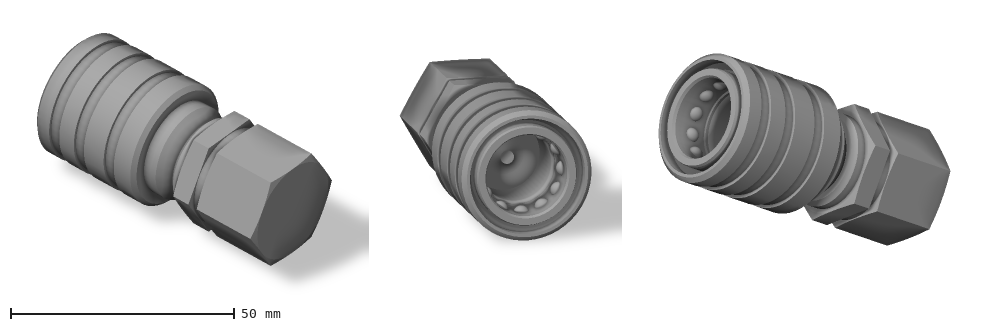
import cadquery as cq
import math


SLEEVE_LENGTH = 29.7
SLEEVE_RADIUS = 15.0
SLEEVE_CHAMFER = 1.0
GROOVE_WIDTH = 3.0
GROOVE_DEPTH = 0.75
GROOVE_STARTS = (4.5, 11.85, 20.75)
MOUTH_RADIUS = 13.3
MOUTH_FLOOR_RADIUS = 12.05
MOUTH_RIM_DEPTH = 3.0
MOUTH_DEPTH = MOUTH_RIM_DEPTH + MOUTH_RADIUS - MOUTH_FLOOR_RADIUS

TUBE_RADIUS = 11.5
TUBE_START = 0.1
TUBE_END = 33.2
TUBE_EDGE_CHAMFER = 0.25
BORE_RADIUS = 9.35
BORE_EDGE_CHAMFER = 0.35
EDGE_CHAMFER_LENGTH = 0.7
BORE_END = 9.5
SEAT_BORE_RADIUS = 8.75
INNER_BORE_RADIUS = 8.2
INNER_BORE_START = 11.5
LEAD_IN_RADIUS = 1.7
SOCKET_FLOOR = 22.0

PIN_RADIUS = 1.55
PIN_FLARE_RADIUS = 3.0

BALL_COUNT = 12
BALL_RADIUS = 1.8
BALL_CIRCLE_RADIUS = 9.9
BALL_POSITION = 6.0
BALL_SEAT_RADIUS = 10.5

CONE_END_RADIUS = 8.3
COLLAR_START = 36.8
COLLAR_RADIUS = 11.0
COLLAR_CHAMFER = 1.1
HEX_ACROSS_FLATS = 24.0
LOCK_HEX_START = 40.0
LOCK_HEX_END = 45.0
NECK_RADIUS = 11.75
NUT_START = 47.0
TOTAL_LENGTH = 64.0
HEX_CHAMFER_ANGLE = 15.0
HEX_FACE_RADIUS = HEX_ACROSS_FLATS / 2
HEX_CORNER_RADIUS = HEX_FACE_RADIUS / math.cos(math.radians(30))
HEX_CHAMFER_LENGTH = (HEX_CORNER_RADIUS - HEX_FACE_RADIUS) * math.tan(math.radians(HEX_CHAMFER_ANGLE))


def revolve_about_x(outline):
    """Turn a closed outline of (x, radius) points around the X axis."""
    return outline.close().revolve(360, (0, 0, 0), (1, 0, 0))


def turned(points):
    return revolve_about_x(cq.Workplane("XY").polyline(points))


def cylinder(start, end, radius):
    return cq.Workplane("YZ", origin=(start, 0, 0)).circle(radius).extrude(end - start)


def make_sleeve():
    sleeve = cylinder(0, SLEEVE_LENGTH, SLEEVE_RADIUS).edges().chamfer(SLEEVE_CHAMFER)
    for start in GROOVE_STARTS:
        end = start + GROOVE_WIDTH
        ring = cylinder(start, end, SLEEVE_RADIUS + GROOVE_DEPTH)
        ring = ring.cut(cylinder(start, end, SLEEVE_RADIUS - GROOVE_DEPTH))
        sleeve = sleeve.cut(ring)
    mouth = turned([
        (0, 0),
        (0, MOUTH_RADIUS),
        (MOUTH_RIM_DEPTH, MOUTH_RADIUS),
        (MOUTH_DEPTH, MOUTH_FLOOR_RADIUS),
        (MOUTH_DEPTH, 0),
    ])
    return sleeve.cut(mouth).cut(cylinder(0, SLEEVE_LENGTH, TUBE_RADIUS))


def make_hexagon(start, end, chamfer_rear):
    """Hexagon with flats facing +Z and -Z and turned corner chamfers."""
    hexagon = (
        cq.Workplane("YZ", origin=(start, 0, 0))
        .polygon(6, 2 * HEX_CORNER_RADIUS)
        .extrude(end - start)
    )
    envelope = [
        (start, 0),
        (start, HEX_FACE_RADIUS),
        (start + HEX_CHAMFER_LENGTH, HEX_CORNER_RADIUS),
    ]
    if chamfer_rear:
        envelope += [(end - HEX_CHAMFER_LENGTH, HEX_CORNER_RADIUS), (end, HEX_FACE_RADIUS)]
    else:
        envelope += [(end, HEX_CORNER_RADIUS)]
    envelope += [(end, 0)]
    return hexagon.intersect(turned(envelope))


def make_body_core():
    """Tube, cone and collar as one turned blank."""
    return turned([
        (TUBE_START, 0),
        (TUBE_START, TUBE_RADIUS - TUBE_EDGE_CHAMFER),
        (TUBE_START + EDGE_CHAMFER_LENGTH, TUBE_RADIUS),
        (TUBE_END, TUBE_RADIUS),
        (COLLAR_START, CONE_END_RADIUS),
        (COLLAR_START, COLLAR_RADIUS - COLLAR_CHAMFER),
        (COLLAR_START + COLLAR_CHAMFER, COLLAR_RADIUS),
        (LOCK_HEX_START, COLLAR_RADIUS),
        (LOCK_HEX_START, 0),
    ])


def make_socket_cavity():
    """Stepped bore with a rounded lead-in and a flared pin left standing on its floor."""
    lead_in_center_radius = INNER_BORE_RADIUS + LEAD_IN_RADIUS
    lead_in_angle = math.acos((lead_in_center_radius - SEAT_BORE_RADIUS) / LEAD_IN_RADIUS)
    lead_in_start = INNER_BORE_START - LEAD_IN_RADIUS * math.sin(lead_in_angle)
    lead_in_middle = (
        INNER_BORE_START - LEAD_IN_RADIUS * math.sin(lead_in_angle / 2),
        lead_in_center_radius - LEAD_IN_RADIUS * math.cos(lead_in_angle / 2),
    )
    pin_tip = SOCKET_FLOOR - PIN_FLARE_RADIUS
    flare_diagonal = PIN_FLARE_RADIUS * math.sqrt(0.5)
    flare_middle = (pin_tip + flare_diagonal, PIN_RADIUS + PIN_FLARE_RADIUS - flare_diagonal)
    outline = (
        cq.Workplane("XY")
        .moveTo(TUBE_START, 0)
        .lineTo(TUBE_START, BORE_RADIUS + BORE_EDGE_CHAMFER)
        .lineTo(TUBE_START + EDGE_CHAMFER_LENGTH, BORE_RADIUS)
        .lineTo(BORE_END, BORE_RADIUS)
        .lineTo(BORE_END, SEAT_BORE_RADIUS)
        .lineTo(lead_in_start, SEAT_BORE_RADIUS)
        .threePointArc(lead_in_middle, (INNER_BORE_START, INNER_BORE_RADIUS))
        .lineTo(SOCKET_FLOOR, INNER_BORE_RADIUS)
        .lineTo(SOCKET_FLOOR, PIN_RADIUS + PIN_FLARE_RADIUS)
        .threePointArc(flare_middle, (pin_tip, PIN_RADIUS))
        .lineTo(pin_tip, 0)
    )
    return revolve_about_x(outline)


def make_balls():
    """Ring of locking balls, trimmed so that none breaks through the tube wall."""
    wall_limit = cylinder(TUBE_START, BORE_END, BALL_SEAT_RADIUS)
    ball = (
        cq.Workplane("XY")
        .sphere(BALL_RADIUS)
        .translate((BALL_POSITION, 0, BALL_CIRCLE_RADIUS))
        .intersect(wall_limit)
    )
    return [ball.rotate((0, 0, 0), (1, 0, 0), index * 360 / BALL_COUNT) for index in range(BALL_COUNT)]


def make_body():
    body = make_body_core().cut(make_socket_cavity())
    for ball in make_balls():
        body = body.union(ball)
    body = body.union(make_hexagon(LOCK_HEX_START, LOCK_HEX_END, chamfer_rear=False))
    body = body.union(cylinder(LOCK_HEX_END, NUT_START, NECK_RADIUS))
    return body.union(make_hexagon(NUT_START, TOTAL_LENGTH, chamfer_rear=True))


sleeve = make_sleeve()
socket_body = make_body()
result = cq.Compound.makeCompound([*sleeve.vals(), *socket_body.solids().vals()])